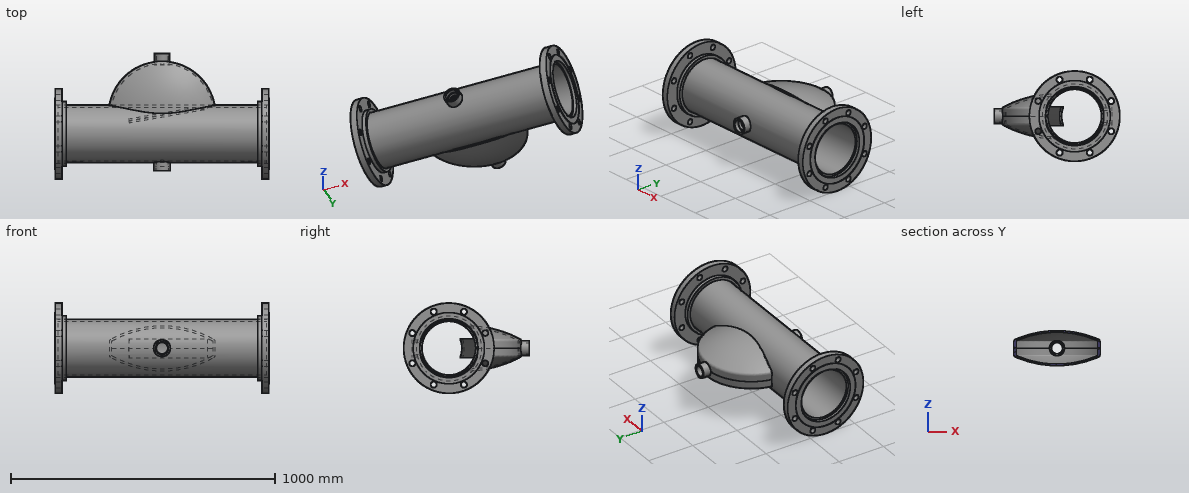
import cadquery as cq
LENGTH = 812.8

PIPE_OD = 219.075
PIPE_WALL = 8.18
PIPE_SETBACK = 12.7

FLANGE_OD = 342.9
FLANGE_BORE = 221.488
FLANGE_THICKNESS = 28.575
RAISED_FACE_OD = 269.875
RAISED_FACE_HEIGHT = 1.588
HUB_OD = 246.063
HUB_LENGTH = 44.45
BOLT_CIRCLE = 298.45
BOLT_HOLE = 22.225
BOLT_COUNT = 8

CHAMBER_RADIUS = 203.2
CHAMBER_CENTER_Y = 71.4
CHAMBER_HEIGHT = 85.725
CROWN_RADIUS = 409.0
KNUCKLE_RADIUS = 11.1
HEAD_WALL = 7.94

OUTLET_OD = 57.15
OUTLET_BORE = 42.0
OUTLET_END_Y = 304.8
OUTLET_INSERTION = 6.0

PORT_OD = 63.5
PORT_BORE = 48.26
PORT_SOCKET_DEPTH = 17.0
PORT_HOLE = 44.45
PORT_END_Y = -139.7

SCOOP_WIDTH = 73.0
SCOOP_ANGLE = 10.0
SCOOP_TIP_X = -127.0
SCOOP_TIP_Y = 57.0

HALF_LENGTH = LENGTH / 2
PIPE_RADIUS = PIPE_OD / 2
PIPE_BORE_RADIUS = PIPE_RADIUS - PIPE_WALL
PIPE_LENGTH = LENGTH - 2 * PIPE_SETBACK
OUTLET_START_Y = CHAMBER_CENTER_Y + CHAMBER_RADIUS - HEAD_WALL - OUTLET_INSERTION
PORT_SHOULDER_Y = PORT_END_Y + PORT_SOCKET_DEPTH
SCOOP_BLANK_LENGTH = 2 * PIPE_OD


def rod_x(radius, length):
    """Solid rod centred on the origin, along X."""
    return cq.Workplane("YZ").circle(radius).extrude(length / 2, both=True)


def rod_y(radius, y_start, y_end):
    """Solid rod along Y at X = 0, Z = 0."""
    return cq.Workplane("XZ", origin=(0, y_start, 0)).circle(radius).extrude(y_start - y_end)


def make_pipe():
    """Main pipe with the hole under the port."""
    pipe = rod_x(PIPE_RADIUS, PIPE_LENGTH).cut(rod_x(PIPE_BORE_RADIUS, PIPE_LENGTH))
    return pipe.cut(rod_y(PORT_HOLE / 2, 0, PORT_END_Y))


def make_flange():
    """Slip-on flange with its raised face at X = 0 and its hub towards +X."""
    bore, raised, rim, hub = (d / 2 for d in (FLANGE_BORE, RAISED_FACE_OD, FLANGE_OD, HUB_OD))
    profile = [
        (0, bore),
        (0, raised),
        (RAISED_FACE_HEIGHT, raised),
        (RAISED_FACE_HEIGHT, rim),
        (FLANGE_THICKNESS, rim),
        (FLANGE_THICKNESS, hub),
        (HUB_LENGTH, hub),
        (HUB_LENGTH, bore),
    ]
    flange = cq.Workplane("XY").polyline(profile).close().revolve(360, (0, 0, 0), (1, 0, 0))
    holes = (
        cq.Workplane("YZ")
        .polarArray(BOLT_CIRCLE / 2, 180 / BOLT_COUNT, 360, BOLT_COUNT)
        .circle(BOLT_HOLE / 2)
        .extrude(FLANGE_THICKNESS)
    )
    return flange.cut(holes)


def crown_ball(inset):
    """Ball whose top is the crown of a head, offset inwards by inset."""
    ball = cq.Workplane("XY").sphere(CROWN_RADIUS - inset).rotate((0, 0, 0), (1, 0, 0), 90)
    return ball.translate((0, CHAMBER_CENTER_Y, CHAMBER_HEIGHT - CROWN_RADIUS))


def head_form(inset):
    """Solid dished form above Z = 0, offset inwards by inset."""
    disc = (
        cq.Workplane("XY", origin=(0, CHAMBER_CENTER_Y, 0))
        .circle(CHAMBER_RADIUS - inset)
        .extrude(CHAMBER_HEIGHT)
    )
    form = disc.intersect(crown_ball(inset))
    return form.faces(">Z").edges().fillet(KNUCKLE_RADIUS - inset)


def make_head():
    """Upper dished head, trimmed where its inner surface meets the pipe."""
    head = head_form(0).cut(head_form(HEAD_WALL))
    pipe_rod = rod_x(PIPE_RADIUS, LENGTH)
    head = head.cut(pipe_rod)
    patch = crown_ball(HEAD_WALL).intersect(pipe_rod).faces("%SPHERE").val()
    head = head.cut(cq.Workplane(cq.Solid.extrudeLinear(patch, cq.Vector(0, 0, PIPE_RADIUS))))
    far_side = cq.Workplane("XY").box(LENGTH, LENGTH, LENGTH).translate((0, -LENGTH / 2, 0))
    head = head.cut(far_side)
    return head.cut(rod_y(OUTLET_OD / 2, CHAMBER_CENTER_Y, OUTLET_END_Y))


def make_outlet():
    """Outlet tube through the chamber rim."""
    tube = rod_y(OUTLET_OD / 2, OUTLET_START_Y, OUTLET_END_Y)
    return tube.cut(rod_y(OUTLET_BORE / 2, OUTLET_START_Y, OUTLET_END_Y))


def make_port():
    """Socketed port saddled on the -Y side of the pipe."""
    port = rod_y(PORT_OD / 2, 0, PORT_END_Y)
    port = port.cut(rod_y(PORT_BORE / 2, PORT_SHOULDER_Y, PORT_END_Y))
    port = port.cut(rod_y(PORT_HOLE / 2, 0, PORT_END_Y))
    return port.cut(rod_x(PIPE_RADIUS, LENGTH))


def make_scoop():
    """Curved strip of pipe wall, tilted from its free tip up to the pipe bore."""
    ring = (
        cq.Workplane("YZ")
        .circle(PIPE_RADIUS)
        .circle(PIPE_BORE_RADIUS)
        .extrude(SCOOP_BLANK_LENGTH)
        .translate((0, -PIPE_RADIUS, 0))
    )
    strip = cq.Workplane("XY").box(
        SCOOP_BLANK_LENGTH, PIPE_RADIUS, SCOOP_WIDTH, centered=(False, True, True)
    )
    plate = ring.intersect(strip).rotate((0, 0, 0), (0, 0, 1), SCOOP_ANGLE)
    plate = plate.translate((SCOOP_TIP_X, SCOOP_TIP_Y, 0))
    return plate.intersect(rod_x(PIPE_BORE_RADIUS, LENGTH))


pipe = make_pipe()
left_flange = make_flange().translate((-HALF_LENGTH, 0, 0))
right_flange = left_flange.mirror("YZ")
upper_head = make_head()
lower_head = upper_head.mirror("XY")
outlet = make_outlet()
port = make_port()
scoop = make_scoop()

result = cq.Compound.makeCompound([
    pipe.val(),
    left_flange.val(),
    right_flange.val(),
    upper_head.val(),
    lower_head.val(),
    outlet.val(),
    port.val(),
    scoop.val(),
])